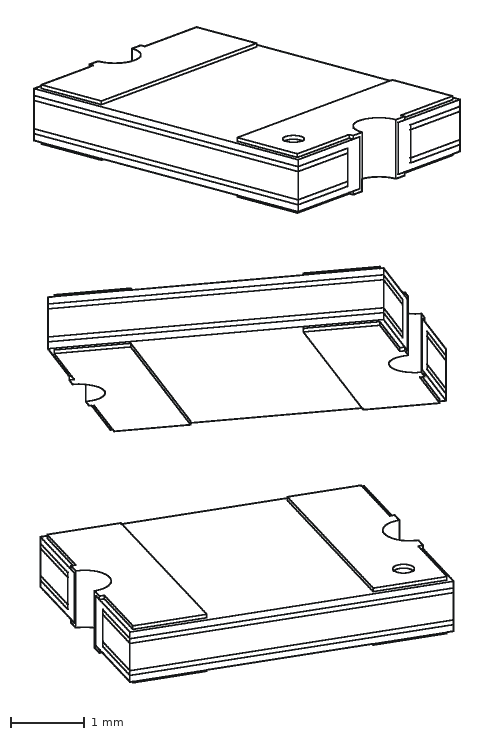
import cadquery as cq

LENGTH = 4.73
WIDTH = 3.41
HEIGHT = 0.85

METAL = 0.05
COVER = 0.1
FOIL = 0.07
BOARD_HEIGHT = HEIGHT - 2 * METAL
STACK_HEIGHT = BOARD_HEIGHT - 2 * COVER
CORE_HEIGHT = STACK_HEIGHT - 2 * FOIL

NOTCH_RADIUS = 0.355
PLATING_RADIUS = NOTCH_RADIUS + METAL
CLEARANCE_RADIUS = 0.66

PAD_REACH = 1.15
PAD_INSET = 0.07
TAB_WIDTH = 1.09
PAD_WIDTH = WIDTH - 2 * PAD_INSET
PAD_LENGTH = PAD_REACH - PAD_INSET

HOLE_X = 1.835
HOLE_Y = -1.18
HOLE_TOP_RADIUS = 0.145
HOLE_FLOOR_RADIUS = 0.12
HOLE_DEPTH = METAL + COVER

ENDS = (-1, 1)


def slab(length, width, height, x=0.0, z=0.0):
    """Box centred on (x, 0, z)."""
    return cq.Workplane("XY").box(length, width, height).translate((x, 0, z))


def end_cylinder(end, radius, height):
    """Upright cylinder on the centre of one board end, centred in height."""
    return cq.Workplane("XY").cylinder(height, radius).translate((end * LENGTH / 2, 0, 0))


def notched_slab(height, notch_radius, z=0.0):
    """Full-size layer with a half-round notch in each end."""
    layer = slab(LENGTH, WIDTH, height, z=z)
    for end in ENDS:
        layer = layer.cut(end_cylinder(end, notch_radius, HEIGHT))
    return layer


def make_core():
    return notched_slab(CORE_HEIGHT, CLEARANCE_RADIUS)


def make_foil(side):
    """Foil above (side = 1) or below (side = -1) the core."""
    return notched_slab(FOIL, CLEARANCE_RADIUS, z=side * (CORE_HEIGHT + FOIL) / 2)


def make_insulation():
    """Covers above and below the stack, joined by the filling around the notches."""
    stack = notched_slab(STACK_HEIGHT, CLEARANCE_RADIUS)
    return notched_slab(BOARD_HEIGHT, PLATING_RADIUS).cut(stack)


def make_pad(end, side):
    """Flat pad on the top or bottom face, with a tab out to the board end."""
    z = side * (BOARD_HEIGHT + METAL) / 2
    main = slab(PAD_LENGTH, PAD_WIDTH, METAL, end * (LENGTH / 2 - PAD_INSET - PAD_LENGTH / 2), z)
    tab = slab(PAD_REACH, TAB_WIDTH, METAL, end * (LENGTH - PAD_REACH) / 2, z)
    return main.union(tab)


def make_terminal(end):
    """Top and bottom pads joined by the half-round plating in the notch."""
    board_space = slab(LENGTH, WIDTH, HEIGHT)
    plating = end_cylinder(end, PLATING_RADIUS, HEIGHT).intersect(board_space)
    terminal = make_pad(end, 1).union(make_pad(end, -1)).union(plating)
    return terminal.cut(end_cylinder(end, NOTCH_RADIUS, HEIGHT))


def make_contact_hole():
    """Tapered plug with the shape of the hole, cut from every body it passes through."""
    hole_top = cq.Vector(HOLE_X, HOLE_Y, HEIGHT / 2)
    down = cq.Vector(0, 0, -1)
    return cq.Workplane(cq.Solid.makeCone(HOLE_TOP_RADIUS, HOLE_FLOOR_RADIUS, HOLE_DEPTH, hole_top, down))


contact_hole = make_contact_hole()

core = make_core()
foils = [make_foil(side) for side in (-1, 1)]
insulation = make_insulation().cut(contact_hole)
plain_terminal = make_terminal(-1)
contact_terminal = make_terminal(1).cut(contact_hole)

result = cq.Compound.makeCompound(
    [
        core.val(),
        *[foil.val() for foil in foils],
        insulation.val(),
        plain_terminal.val(),
        contact_terminal.val(),
    ]
)